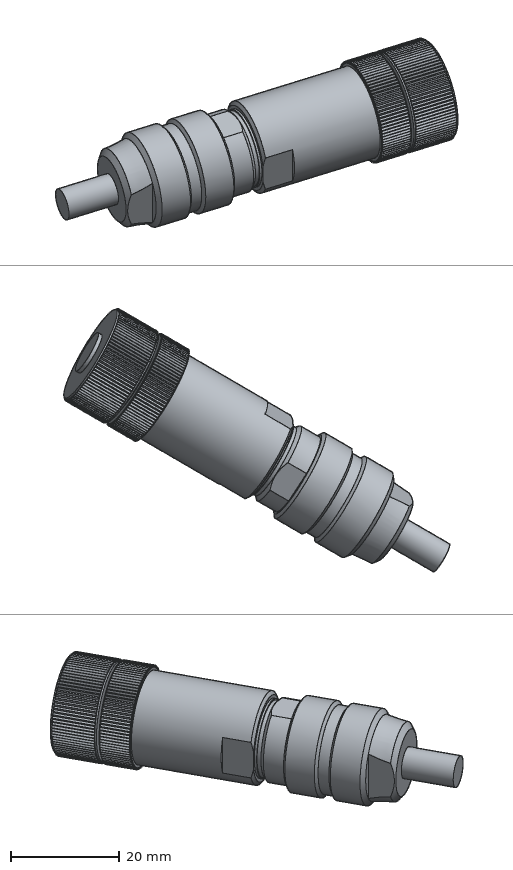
import cadquery as cq
import math


insert_radius = 4.1

sleeve_radius = 9.45
ridge_root_radius = 9.5
ridge_tip_radius = 9.825
ridge_count = 96
ridge_pitch_angle = 360 / ridge_count
first_ridge_angle = -0.66
nut_start_depth = 0.75
nut_end_depth = 9.7
nut_ridge_setback = 0.35
nut_gap_radius = 7.4
ring_start_depth = 10.2
ring_end_depth = 16.3
ring_ridge_setback = 0.15

body_radius = 8.9
body_end_depth = 39.7
body_chamfer_length = 0.5
body_chamfer_height = 0.7
body_flat_offset = 8.0
body_flat_start_depth = 33.7

collar_radius = 7.55
collar_end_depth = 40.15
seal_radius = 7.3
seal_end_depth = 40.9

stem_radius = 8.0
stem_flat_offset = 7.35
stem_chamfer_length = 0.7
stem_end_depth = 45.65

band_radius = 9.15
band_chamfer_length = 0.5
groove_radius = 8.45
groove_start_depth = 52.35
groove_end_depth = 54.45
shoulder_start_depth = 60.7
shoulder_end_depth = 61.5
shoulder_end_radius = 8.2

tail_mid_depth = 63.65
tail_mid_radius = 7.8
tail_taper_end_depth = 65.8
tail_taper_end_radius = 7.55
tail_end_depth = 66.75
tail_end_radius = 6.35
tail_flat_offset = 6.6

cable_radius = 3.0
cable_end_depth = 76.8

cutter_width = 30.0


def turned(profile):
    """Solid of revolution about the Y axis from a (radius, y) profile, which is closed here."""
    return profile.close().revolve(360, (0, 0, 0), (0, 1, 0))


def polar_point(radius, angle_degrees):
    """(x, y) of a point given by its radius and its angle from the local X axis."""
    angle = math.radians(angle_degrees)
    return (radius * math.cos(angle), radius * math.sin(angle))


def knurled_sleeve(start_depth, end_depth, ridge_setback):
    """Plain sleeve carrying a ring of V-shaped ridges along its length."""
    sleeve = (
        cq.Workplane("XZ", origin=(0, -start_depth, 0))
        .circle(sleeve_radius)
        .extrude(end_depth - start_depth)
    )
    outline = []
    for i in range(ridge_count):
        tip_angle = first_ridge_angle + i * ridge_pitch_angle
        outline.append(polar_point(ridge_tip_radius, tip_angle))
        outline.append(polar_point(ridge_root_radius, tip_angle + ridge_pitch_angle / 2))
    ridges = (
        cq.Workplane("XZ", origin=(0, -start_depth - ridge_setback, 0))
        .polyline(outline)
        .close()
        .extrude(end_depth - start_depth - 2 * ridge_setback)
    )
    return sleeve.union(ridges)


def turned_core():
    """Everything turned, from the contact insert to the end of the cable."""
    return turned(
        cq.Workplane("XY")
        .moveTo(0, 0)
        .lineTo(insert_radius, 0)
        .lineTo(insert_radius, -nut_start_depth)
        .lineTo(nut_gap_radius, -nut_start_depth)
        .lineTo(nut_gap_radius, -ring_start_depth)
        .lineTo(body_radius, -ring_start_depth)
        .lineTo(body_radius, -body_end_depth + body_chamfer_length)
        .lineTo(body_radius - body_chamfer_height, -body_end_depth)
        .lineTo(collar_radius, -body_end_depth)
        .lineTo(collar_radius, -collar_end_depth)
        .lineTo(seal_radius, -collar_end_depth)
        .lineTo(seal_radius, -seal_end_depth)
        .lineTo(stem_radius, -seal_end_depth - stem_chamfer_length)
        .lineTo(stem_radius, -stem_end_depth)
        .lineTo(groove_radius, -stem_end_depth)
        .lineTo(band_radius, -stem_end_depth - band_chamfer_length)
        .lineTo(band_radius, -groove_start_depth + band_chamfer_length)
        .lineTo(groove_radius, -groove_start_depth)
        .lineTo(groove_radius, -groove_end_depth)
        .lineTo(band_radius, -groove_end_depth - band_chamfer_length)
        .lineTo(band_radius, -shoulder_start_depth)
        .lineTo(shoulder_end_radius, -shoulder_end_depth)
        .threePointArc((tail_mid_radius, -tail_mid_depth), (tail_taper_end_radius, -tail_taper_end_depth))
        .lineTo(tail_end_radius, -tail_end_depth)
        .lineTo(cable_radius, -tail_end_depth)
        .lineTo(cable_radius, -cable_end_depth)
        .lineTo(0, -cable_end_depth)
    )


def cut_flat_pair(part, start_depth, end_depth, offset, normal_angle):
    """Mill two parallel flats; normal_angle is 0 for the X sides and 90 for the Z sides."""
    length = end_depth - start_depth
    for side in (0, 180):
        cutter = (
            cq.Workplane("XY")
            .box(cutter_width, length, cutter_width)
            .translate((offset + cutter_width / 2, -(start_depth + end_depth) / 2, 0))
            .rotate((0, 0, 0), (0, 1, 0), normal_angle + side)
        )
        part = part.cut(cutter)
    return part


result = turned_core()
result = cut_flat_pair(result, body_flat_start_depth, body_end_depth, body_flat_offset, 0)
result = cut_flat_pair(result, seal_end_depth, stem_end_depth, stem_flat_offset, 90)
result = cut_flat_pair(result, shoulder_end_depth, tail_end_depth, tail_flat_offset, 0)
result = result.union(knurled_sleeve(nut_start_depth, nut_end_depth, nut_ridge_setback))
result = result.union(knurled_sleeve(ring_start_depth, ring_end_depth, ring_ridge_setback))